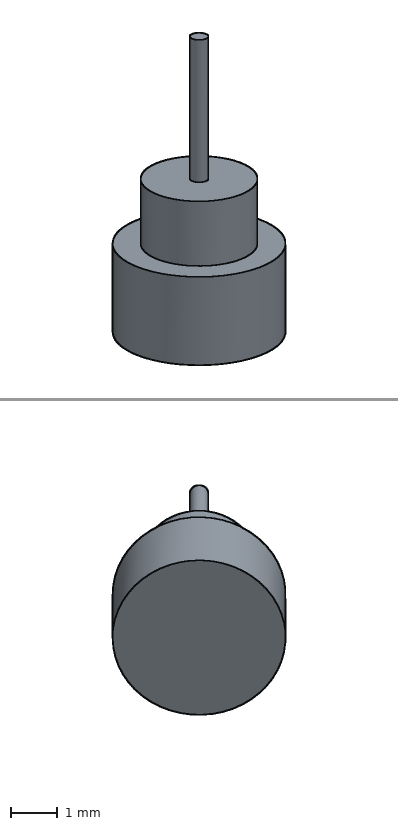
import cadquery as cq

base_diameter = 3.7
base_height = 2.05
collar_diameter = 2.5
collar_height = 1.5
insulator_diameter = 1.95
pin_diameter = 0.4
total_height = 6.85

collar_top = base_height + collar_height
pin_length = total_height - collar_top


def cylinder(diameter, height, bottom):
    """Cylinder on the Z axis, rising from the given level."""
    return cq.Workplane("XY").workplane(offset=bottom).circle(diameter / 2).extrude(height)


def make_shell():
    """Stepped metal body: wide base with a narrower collar, bored for the insulator."""
    base = cylinder(base_diameter, base_height, 0)
    collar = cylinder(collar_diameter, collar_height, base_height)
    bore = cylinder(insulator_diameter, collar_height, base_height)
    return base.union(collar).cut(bore)


def make_insulator():
    """Plug that fills the collar bore flush with the collar rim."""
    return cylinder(insulator_diameter, collar_height, base_height)


def make_pin():
    """Contact pin standing on the insulator."""
    return cylinder(pin_diameter, pin_length, collar_top)


result = make_shell().union(make_insulator(), clean=False).union(make_pin(), clean=False)